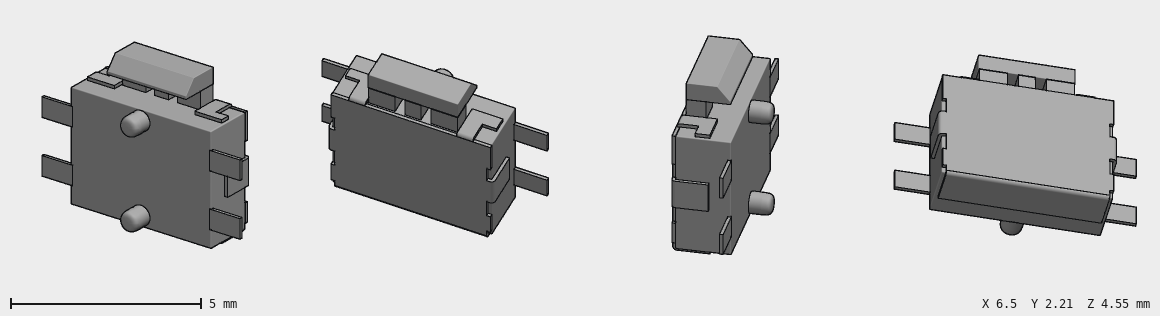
import cadquery as cq

SHEET = 0.1
HOUSING_ROUNDING = 0.03
HEAD_ROUNDING = 0.02

BODY_WIDTH = 4.6
BODY_DEPTH = 1.5
BODY_HEIGHT = 3.4

PEG_DIAMETER = 0.6
PEG_LENGTH = 0.605
PEG_NOSE_LENGTH = 0.255
PEG_FLAT_RADIUS = 0.05
PEG_NOSE_FULLNESS = 0.8
PEG_SPACING = 2.75

LEG_HEIGHT = 0.55
LEG_DEPTH = 0.54
OUTER_LEG_WIDTH = 0.76
MIDDLE_LEG_WIDTH = 0.455
HEAD_WIDTH = 2.6
HEAD_DEPTH = 1.2
HEAD_HEIGHT = 0.5
HEAD_TOP_DEPTH = 0.85
HEAD_LIP_HEIGHT = 0.09
LEVER_SETBACK = 0.05

TERMINAL_SPAN = 6.5
TERMINAL_HEIGHT = 0.6
TERMINAL_SPACING = 1.7
TERMINAL_SEAT = 0.05

BEND_RADIUS = 0.12
TAB_REACH = 1.0
SIDE_TAB_HEIGHT = 0.8
BOTTOM_TAB_WIDTH = 4.395
TOP_TAB_INNER = 1.32
TOP_TAB_NECK = 1.795
TOP_TAB_TIP = 2.205
LEFT_NECK_REACH = 0.605
RIGHT_NECK_REACH = 0.7
SIDE_RELIEF_TOP = 0.85
SIDE_RELIEF_BOTTOM = -0.93
CORNER_RELIEF_TOP = -1.52

FRONT = -BODY_DEPTH / 2
REAR = BODY_DEPTH / 2
COVER_REAR = REAR + SHEET
RIGHT = BODY_WIDTH / 2
TOP = BODY_HEIGHT / 2
RELIEF_WIDTH = RIGHT - BOTTOM_TAB_WIDTH / 2
LEVER_REAR = REAR - LEVER_SETBACK
HEAD_BOTTOM = TOP + LEG_HEIGHT
TERMINAL_INNER = RIGHT - TERMINAL_SEAT
TERMINAL_LENGTH = TERMINAL_SPAN / 2 - TERMINAL_INNER


def block(x_range, y_range, z_range):
    """Box between two limits along each axis."""
    (x0, x1), (y0, y1), (z0, z1) = x_range, y_range, z_range
    corner = cq.Vector(x0, y0, z0)
    return cq.Workplane(cq.Solid.makeBox(x1 - x0, y1 - y0, z1 - z0, corner))


def make_rounded_block(radius):
    """Block of the housing size with all its edges rounded."""
    return cq.Workplane("XY").box(BODY_WIDTH, BODY_DEPTH, BODY_HEIGHT).edges().fillet(radius)


def make_terminal(side, z_middle):
    """Flat terminal flush with the housing front; side is -1 (left) or 1 (right)."""
    x_middle = side * (TERMINAL_INNER + TERMINAL_LENGTH / 2)
    return (
        cq.Workplane("XY")
        .box(TERMINAL_LENGTH, SHEET, TERMINAL_HEIGHT)
        .translate((x_middle, FRONT + SHEET / 2, z_middle))
    )


def make_peg(z_middle):
    """Locating peg on the housing front with a full, blunt nose."""
    radius = PEG_DIAMETER / 2
    tip = FRONT - PEG_LENGTH
    nose_start = tip + PEG_NOSE_LENGTH
    radial_handle = PEG_NOSE_FULLNESS * (radius - PEG_FLAT_RADIUS)
    nose_curve = [
        (radius, nose_start),
        (radius, nose_start - PEG_NOSE_FULLNESS * PEG_NOSE_LENGTH),
        (PEG_FLAT_RADIUS + radial_handle, tip),
        (PEG_FLAT_RADIUS, tip),
    ]
    return (
        cq.Workplane("XY")
        .moveTo(0, FRONT)
        .lineTo(radius, FRONT)
        .lineTo(radius, nose_start)
        .bezier(nose_curve)
        .lineTo(0, tip)
        .close()
        .revolve(360, (0, 0, 0), (0, 1, 0))
        .translate((0, 0, z_middle))
    )


def make_lever():
    """Wedge-fronted head on three legs that stand on the housing top."""
    head_front = LEVER_REAR - HEAD_DEPTH
    head_top = HEAD_BOTTOM + HEAD_HEIGHT
    lever = (
        cq.Workplane("YZ", origin=(-HEAD_WIDTH / 2, 0, 0))
        .moveTo(LEVER_REAR, HEAD_BOTTOM)
        .lineTo(LEVER_REAR, head_top)
        .lineTo(LEVER_REAR - HEAD_TOP_DEPTH, head_top)
        .lineTo(head_front, HEAD_BOTTOM + HEAD_LIP_HEIGHT)
        .lineTo(head_front, HEAD_BOTTOM)
        .close()
        .extrude(HEAD_WIDTH)
        .edges()
        .fillet(HEAD_ROUNDING)
    )
    outer_leg_x = HEAD_WIDTH / 2 - HEAD_ROUNDING - OUTER_LEG_WIDTH / 2
    legs = [
        (-outer_leg_x, OUTER_LEG_WIDTH),
        (0, MIDDLE_LEG_WIDTH),
        (outer_leg_x, OUTER_LEG_WIDTH),
    ]
    for x_middle, width in legs:
        lever = lever.union(
            block(
                (x_middle - width / 2, x_middle + width / 2),
                (LEVER_REAR - LEG_DEPTH, LEVER_REAR),
                (TOP, HEAD_BOTTOM),
            )
        )
    return lever


def make_housing(terminals):
    """Rounded block with the lever and pegs, recessed for the terminal ends."""
    housing = make_rounded_block(HOUSING_ROUNDING)
    housing = housing.union(make_lever())
    for z_middle in (-PEG_SPACING / 2, PEG_SPACING / 2):
        housing = housing.union(make_peg(z_middle))
    for terminal in terminals:
        housing = housing.cut(terminal)
    return housing


def make_bent_blank(half_width, height_range, bent_faces):
    """Solid block out to the cover's outer faces, rounded where the bent faces meet the rear."""
    z0, z1 = height_range
    tab_front = COVER_REAR - TAB_REACH
    outside = block((-half_width, half_width), (tab_front, COVER_REAR), (z0, z1))
    return outside.faces(bent_faces).edges(">Y").fillet(BEND_RADIUS)


def make_top_tab(side, neck_reach):
    """L-shaped top tab, cut from a bent blank."""
    bent = make_bent_blank(TOP_TAB_TIP, (-TOP, TOP + SHEET), ">Z")
    outline = (
        cq.Workplane("XY")
        .moveTo(side * TOP_TAB_INNER, COVER_REAR)
        .lineTo(side * TOP_TAB_NECK, COVER_REAR)
        .lineTo(side * TOP_TAB_NECK, COVER_REAR - neck_reach)
        .lineTo(side * TOP_TAB_TIP, COVER_REAR - neck_reach)
        .lineTo(side * TOP_TAB_TIP, COVER_REAR - TAB_REACH)
        .lineTo(side * TOP_TAB_INNER, COVER_REAR - TAB_REACH)
        .close()
        .extrude(TOP + SHEET)
    )
    return bent.intersect(outline)


def make_cover():
    """Sheet-metal rear cover with tabs bent over the housing top, sides and bottom."""
    plate = block((-RIGHT, RIGHT), (REAR, COVER_REAR), (-TOP, TOP))
    for side in (-1, 1):
        x_range = sorted((side * (RIGHT - RELIEF_WIDTH), side * RIGHT))
        for z_range in ((SIDE_RELIEF_BOTTOM, SIDE_RELIEF_TOP), (-TOP, CORNER_RELIEF_TOP)):
            plate = plate.cut(block(x_range, (REAR, COVER_REAR), z_range))

    half_tab = SIDE_TAB_HEIGHT / 2
    side_tabs = make_bent_blank(RIGHT + SHEET, (-half_tab, half_tab), "<X or >X")
    bottom_tab = make_bent_blank(BOTTOM_TAB_WIDTH / 2, (-TOP - SHEET, 0), "<Z")
    cover = plate.union(side_tabs).union(bottom_tab)
    cover = cover.union(make_top_tab(-1, LEFT_NECK_REACH))
    cover = cover.union(make_top_tab(1, RIGHT_NECK_REACH))
    return cover.cut(make_rounded_block(BEND_RADIUS - SHEET))


terminals = [
    make_terminal(side, z_middle)
    for side in (-1, 1)
    for z_middle in (-TERMINAL_SPACING / 2, TERMINAL_SPACING / 2)
]
housing = make_housing(terminals)
cover = make_cover()

result = cq.Compound.makeCompound(
    [housing.val(), cover.val(), *[terminal.val() for terminal in terminals]]
)